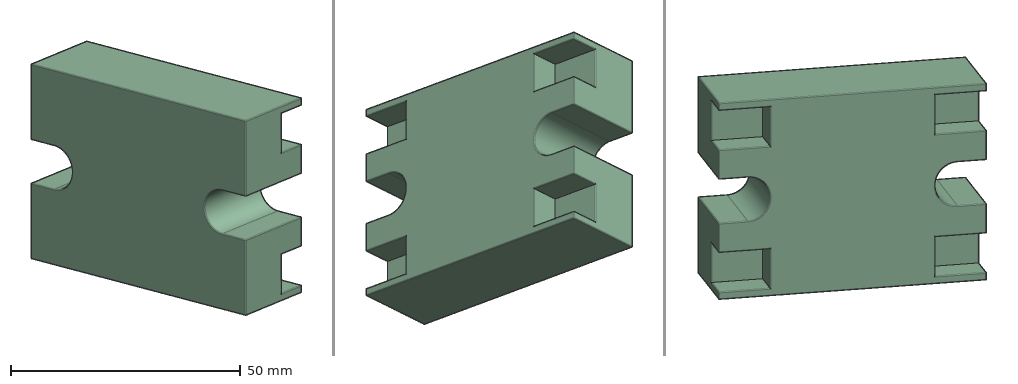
import cadquery as cq

length = 60.0
depth = 19.5
height = 45.0

notch_width = 10.0
notch_reach = 11.5

pocket_height = 9.0
pocket_depth = 7.0
pocket_reach = notch_reach
rim = 1.75

edge_radius = 0.2


def end_notch(side):
    """Round-ended notch cutter, centred on the end face of the given X side."""
    return (
        cq.Workplane("XZ")
        .center(side * length / 2, 0)
        .slot2D(2 * notch_reach, notch_width)
        .extrude(depth / 2, both=True)
    )


def end_pocket(side, level):
    """Pocket cutter in one end, near the top (level 1) or bottom (level -1)."""
    middle_x = side * (length - pocket_reach) / 2
    middle_y = (depth - pocket_depth) / 2
    middle_z = level * (height / 2 - rim - pocket_height / 2)
    pocket = cq.Workplane("XY").box(pocket_reach, pocket_depth, pocket_height)
    return pocket.translate((middle_x, middle_y, middle_z))


result = cq.Workplane("XY").box(length, depth, height)
for side in (-1, 1):
    result = result.cut(end_notch(side))
    for level in (-1, 1):
        result = result.cut(end_pocket(side, level))

result = result.faces("<X or >X or <Y or >Y").edges().fillet(edge_radius)